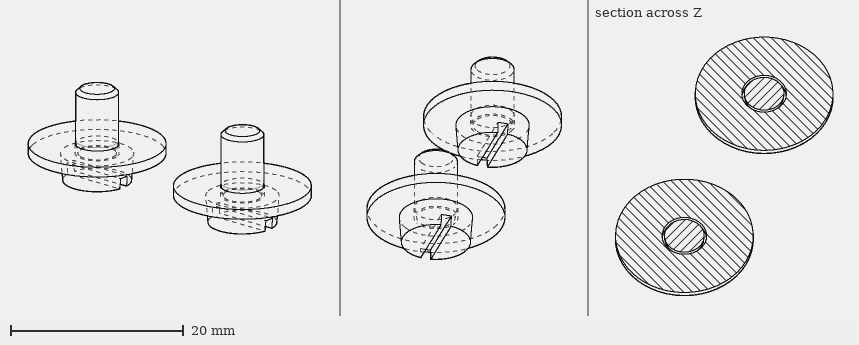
import cadquery as cq

set_spacing = 22.0

shank_diameter = 5.0
shank_length = 8.0
tip_chamfer = 0.49
runout_length = 1.6
runout_root_diameter = 4.48
head_base_diameter = 8.0
head_seat_diameter = 8.5
head_height = 3.3
slot_width = 1.2
slot_depth = 1.3

washer_diameter = 16.0
washer_hole_diameter = 5.1
washer_thickness = 1.2

tip_z = head_height + shank_length


def make_screw():
    """Revolved head and shank, with the driver slot running through the head along X."""
    body = (
        cq.Workplane("XZ")
        .moveTo(0, 0)
        .lineTo(head_base_diameter / 2, 0)
        .lineTo(head_seat_diameter / 2, head_height)
        .lineTo(runout_root_diameter / 2, head_height)
        .lineTo(shank_diameter / 2, head_height + runout_length)
        .lineTo(shank_diameter / 2, tip_z - tip_chamfer)
        .lineTo(shank_diameter / 2 - tip_chamfer, tip_z)
        .lineTo(0, tip_z)
        .close()
        .revolve(360, (0, 0), (0, 1))
    )
    slot = cq.Workplane("XY").box(
        head_seat_diameter, slot_width, slot_depth, centered=(True, True, False)
    )
    return body.cut(slot)


def make_washer():
    """Plain ring seated on top of the screw head."""
    return (
        cq.Workplane("XY")
        .workplane(offset=head_height)
        .circle(washer_diameter / 2)
        .circle(washer_hole_diameter / 2)
        .extrude(washer_thickness)
    )


bodies = []
for set_x in (-set_spacing / 2, set_spacing / 2):
    screw = make_screw().translate((set_x, 0, 0))
    washer = make_washer().translate((set_x, 0, 0))
    bodies += [screw.val(), washer.val()]

result = cq.Compound.makeCompound(bodies)